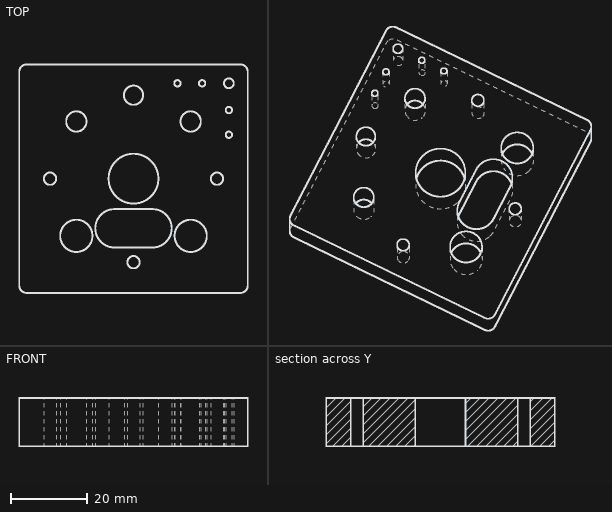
import cadquery as cq

side = 60.0
thickness = 12.7
corner_radius = 2.0

bore_diameter = 13.0
axis_offset = 21.9
axis_hole_diameter = 3.2
back_hole_diameter = 5.0

diagonal_offset = 15.0
back_diagonal_diameter = 5.3
front_diagonal_diameter = 8.4

slot_length = 20.0
slot_width = 10.0
slot_y = -13.0

corner_hole_offset = 25.0
corner_hole_diameter = 2.5
row_hole_diameter = 1.6
row_offsets = (11.5, 18.0)


def drill(body, diameter, points):
    """Cut round through holes at the given points."""
    return body.faces(">Z").workplane(origin=(0, 0, 0)).pushPoints(points).hole(diameter)


plate = cq.Workplane("XY").box(side, side, thickness).edges("|Z").fillet(corner_radius)

plate = drill(plate, bore_diameter, [(0, 0)])
plate = drill(plate, axis_hole_diameter, [(-axis_offset, 0), (axis_offset, 0), (0, -axis_offset)])
plate = drill(plate, back_hole_diameter, [(0, axis_offset)])

for diameter, y in (
    (back_diagonal_diameter, diagonal_offset),
    (front_diagonal_diameter, -diagonal_offset),
):
    plate = drill(plate, diameter, [(-diagonal_offset, y), (diagonal_offset, y)])

slot = (
    cq.Workplane("XY")
    .center(0, slot_y)
    .slot2D(slot_length, slot_width)
    .extrude(thickness, both=True)
)
plate = plate.cut(slot)

plate = drill(plate, corner_hole_diameter, [(corner_hole_offset, corner_hole_offset)])
for offset in row_offsets:
    row_pair = [(offset, corner_hole_offset), (corner_hole_offset, offset)]
    plate = drill(plate, row_hole_diameter, row_pair)

result = plate